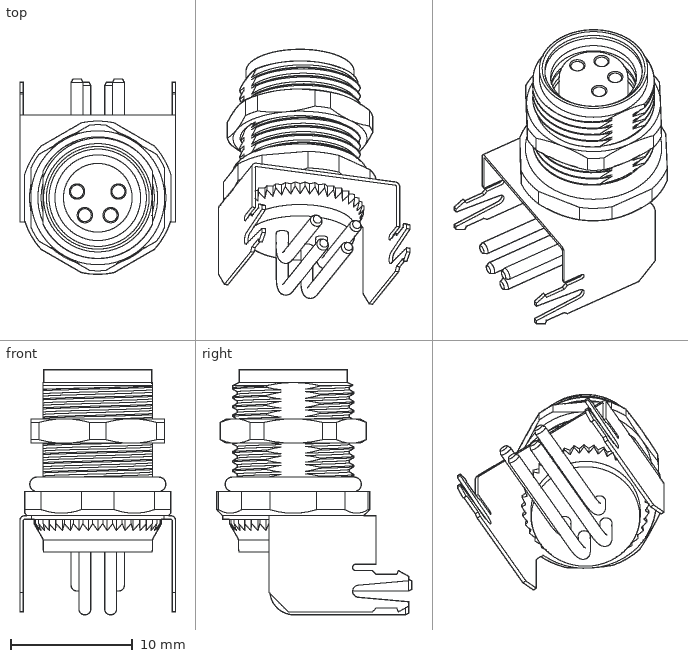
import cadquery as cq
import math


BODY_RADIUS = 4.5
RIM_RADIUS = 4.45
TOP_Z = 12.0
BOTTOM_Z = -3.0
BOTTOM_CHAMFER_HEIGHT = 0.2
BOTTOM_CHAMFER_WIDTH = 0.05

THREAD_RADIUS = 5.0
THREAD_ROOT_RADIUS = 4.61
THREAD_PITCH = 0.75
THREAD_CREST_WIDTH = 0.1
THREAD_FLANK_ANGLE = 30.0
THREAD_TOP_Z = 10.95
THREAD_BOTTOM_Z = 3.1
THREAD_LEAD_IN = 0.27
THREAD_CREST_Z = 9.7
RIDGE_OVERLAP = 0.1
CREST_START_Z = THREAD_CREST_Z + THREAD_PITCH / 4
THREAD_END_TURNS = 0.95
THREAD_END_STEP = 0.02
FLAT_DISTANCE = 4.5

NUT_FLATS = 11.0
NUT_CORNER_RADIUS = 6.0
NUT_BOTTOM_Z = 5.95
NUT_HEIGHT = 2.0
NUT_CHAMFER_ANGLE = 30.0
NUT_HOLE_RADIUS = 4.65
NUT_HOLE_MOUTH_RADIUS = 4.92

FLANGE_FLATS = 12.0
FLANGE_CORNER_RADIUS = 6.3
FLANGE_HEIGHT = 2.0
FLANGE_CHAMFER = 0.5

OUTER_RING_RADIUS = 5.0
OUTER_RING_SECTION = 0.6
INNER_RING_SECTION = 0.37
RING_SQUEEZE = 0.02

MOUTH_RADIUS = 4.22
COUNTERBORE_RADIUS = 4.0
COUNTERBORE_CONE_Z = 11.45
BORE_RADIUS = 3.52
SNAP_CONE_HEIGHT = 0.38
UPPER_LIP_BOTTOM_Z = 10.45
MIDDLE_LIP_TOP_Z = 9.67
MIDDLE_LIP_BOTTOM_Z = 9.4
LOWER_LIP_TOP_Z = 8.75
WELL_FLOOR_Z = 7.8
INSERT_RADIUS = 2.82
INSERT_DEPTH = 0.8
INSERT_EDGE_RADIUS = 0.2

CONTACT_HOLE_RADIUS = 0.53
CONTACT_HOLE_CHAMFER = 0.1
CONTACT_HOLE_DEPTH = 3.5
DRILL_TIP_ANGLE = 118.0
FRONT_CONTACT_X = 1.06
FRONT_CONTACT_Y = -1.43
REAR_CONTACT_X = 1.7
REAR_CONTACT_Y = 0.51
PIN_RADIUS = 0.5
PIN_BEND_RADIUS = 1.5
PIN_EMBEDDED_LENGTH = 0.5
PIN_ROOT_Z = BOTTOM_Z + PIN_EMBEDDED_LENGTH
FRONT_PIN_AXIS_Z = -7.65
REAR_PIN_AXIS_Z = -5.7
FRONT_PIN_END_Y = 9.5
REAR_PIN_END_Y = 9.75
PIN_TIP_LENGTH = 0.3
PIN_TIP_STEP = 0.15

KNURL_RADIUS = 5.25
KNURL_ROOT_RADIUS = 4.92
KNURL_COUNT = 40
KNURL_CONE_TOP_Z = -0.65
KNURL_CONE_END_RADIUS = 4.55
KNURL_CONE_END_Z = -1.85
COLLAR_END_Z = -2.0

SHEET = 0.3
BRACKET_WIDTH = 12.8
BRACKET_BEND_RADIUS = 0.4
BRACKET_FRONT_Y = -2.0
BRACKET_REAR_Y = 6.8
BRACKET_NOSE_RADIUS = 5.8
LEG_BOTTOM_Z = -7.9
LEG_CHAMFER = 1.6

FORK_Z = -6.2
FORK_ROOT_Y = 4.88
FORK_ROOT_HALF_GAP = 0.49
FORK_ROOT_LENGTH = 0.45
FORK_TIP_Y = 9.5
FORK_TIP_HALF_GAP = 0.86
FORK_TIP_HALF_WIDTH = 1.22
BARB_Y = 8.63
BARB_BACK_Y = 8.5
BARB_HALF_WIDTH = FORK_Z - LEG_BOTTOM_Z
NECK_HALF_WIDTH = 1.4
NECK_START_Y = 6.8
NECK_END_Y = 6.5
RELIEF_TOP_Z = -4.0


def revolve_profile(points):
    """Solid of revolution about Z from (radius, z) points."""
    return cq.Workplane("XZ").polyline(points).close().revolve(360, (0, 0), (0, 1))


def cylinder(radius, bottom, top):
    return cq.Workplane("XY").workplane(offset=bottom).circle(radius).extrude(top - bottom)


def hexagon(flats, bottom, height):
    """Hexagonal prism with flats facing +X and -X."""
    prism = cq.Workplane("XY").workplane(offset=bottom)
    prism = prism.polygon(6, flats / math.cos(math.pi / 6)).extrude(height)
    return prism.rotate((0, 0, 0), (0, 0, 1), 30)


def ring(radius, section, seat_z):
    """Round-section sealing ring resting on a seat."""
    centre_z = seat_z + section - RING_SQUEEZE
    circle = cq.Workplane("XZ").center(radius, centre_z).circle(section)
    return circle.revolve(360, (-radius, 0), (-radius, 1))


def side_flats():
    """Slab between the two body flats."""
    return cq.Workplane("XY").box(2 * FLAT_DISTANCE, 4 * THREAD_RADIUS, 4 * TOP_Z)


def lead_in_envelope():
    """Region below the cone that chamfers the top end of the thread."""
    outer = THREAD_RADIUS + RIDGE_OVERLAP
    cone_height = (outer - RIM_RADIUS) * THREAD_LEAD_IN / (THREAD_RADIUS - RIM_RADIUS)
    return revolve_profile([
        (0, THREAD_BOTTOM_Z),
        (outer, THREAD_BOTTOM_Z),
        (outer, THREAD_TOP_Z - cone_height),
        (RIM_RADIUS, THREAD_TOP_Z),
        (0, THREAD_TOP_Z),
    ])


def make_thread_core():
    core = cylinder(THREAD_ROOT_RADIUS, THREAD_BOTTOM_Z, THREAD_TOP_Z)
    return core.intersect(lead_in_envelope()).intersect(side_flats())


def helical_sweep(profile, start_z, turns):
    """Sweep a (radius, height) profile along the thread helix, starting on +X at start_z."""
    path = cq.Wire.makeHelix(THREAD_PITCH, turns * THREAD_PITCH, THREAD_ROOT_RADIUS, cq.Vector(0, 0, start_z))
    outline = cq.Workplane("XZ", origin=(0, 0, start_z)).polyline(profile).close()
    return outline.sweep(cq.Workplane(obj=path), isFrenet=True)


def make_thread_ridge(bottom, top):
    """Thread between two heights, interrupted by the side flats."""
    base_radius = THREAD_ROOT_RADIUS - RIDGE_OVERLAP
    half_crest = THREAD_CREST_WIDTH / 2
    half_base = half_crest + (THREAD_RADIUS - base_radius) * math.tan(math.radians(THREAD_FLANK_ANGLE))
    profile = [
        (base_radius, -half_base),
        (THREAD_RADIUS, -half_crest),
        (THREAD_RADIUS, half_crest),
        (base_radius, half_base),
    ]
    turns_below = math.ceil((CREST_START_Z - bottom) / THREAD_PITCH) + 1
    start_z = CREST_START_Z - turns_below * THREAD_PITCH
    turns = math.ceil((top - start_z) / THREAD_PITCH) + 1
    section = cylinder(THREAD_RADIUS + RIDGE_OVERLAP, bottom, top).intersect(lead_in_envelope())
    return helical_sweep(profile, start_z, turns).intersect(section).intersect(side_flats())


def make_thread_end():
    """Ungrooved land above the last crest on the -Y side, between the two flats."""
    inner_radius = THREAD_ROOT_RADIUS - RIDGE_OVERLAP / 2
    outer_radius = THREAD_RADIUS - THREAD_END_STEP
    profile = [
        (inner_radius, 0),
        (outer_radius, 0),
        (outer_radius, THREAD_PITCH),
        (inner_radius, THREAD_PITCH),
    ]
    half = cq.Workplane("XY").box(4 * THREAD_RADIUS, 2 * THREAD_RADIUS, 4 * TOP_Z)
    half = half.translate((0, -THREAD_RADIUS, 0)).intersect(side_flats()).intersect(lead_in_envelope())
    return helical_sweep(profile, CREST_START_Z, THREAD_END_TURNS).intersect(half)


def make_nut():
    top = NUT_BOTTOM_Z + NUT_HEIGHT
    face_radius = NUT_FLATS / 2
    chamfer = (NUT_CORNER_RADIUS - face_radius) * math.tan(math.radians(NUT_CHAMFER_ANGLE))
    envelope = revolve_profile([
        (0, NUT_BOTTOM_Z),
        (face_radius, NUT_BOTTOM_Z),
        (NUT_CORNER_RADIUS, NUT_BOTTOM_Z + chamfer),
        (NUT_CORNER_RADIUS, top - chamfer),
        (face_radius, top),
        (0, top),
    ])
    nut = hexagon(NUT_FLATS, NUT_BOTTOM_Z, NUT_HEIGHT).intersect(envelope)

    hole_chamfer = NUT_HOLE_MOUTH_RADIUS - NUT_HOLE_RADIUS
    hole = revolve_profile([
        (0, NUT_BOTTOM_Z),
        (NUT_HOLE_MOUTH_RADIUS, NUT_BOTTOM_Z),
        (NUT_HOLE_RADIUS, NUT_BOTTOM_Z + hole_chamfer),
        (NUT_HOLE_RADIUS, top - hole_chamfer),
        (NUT_HOLE_MOUTH_RADIUS, top),
        (0, top),
    ])
    return nut.cut(hole.cut(side_flats()))


def make_flange():
    envelope = cylinder(FLANGE_CORNER_RADIUS, 0, FLANGE_HEIGHT).faces("<Z").chamfer(FLANGE_CHAMFER)
    return hexagon(FLANGE_FLATS, 0, FLANGE_HEIGHT).intersect(envelope)


def make_collar():
    collar = revolve_profile([
        (0, 0),
        (KNURL_RADIUS, 0),
        (KNURL_RADIUS, KNURL_CONE_TOP_Z),
        (KNURL_CONE_END_RADIUS, KNURL_CONE_END_Z),
        (BODY_RADIUS, COLLAR_END_Z),
        (BODY_RADIUS, BOTTOM_Z + BOTTOM_CHAMFER_HEIGHT),
        (BODY_RADIUS - BOTTOM_CHAMFER_WIDTH, BOTTOM_Z),
        (0, BOTTOM_Z),
    ])
    star = []
    for index in range(2 * KNURL_COUNT):
        radius = KNURL_RADIUS if index % 2 else KNURL_ROOT_RADIUS
        angle = math.pi * index / KNURL_COUNT - math.pi / 2
        star.append((radius * math.cos(angle), radius * math.sin(angle)))
    knurl = cq.Workplane("XY").workplane(offset=BOTTOM_Z).polyline(star).close().extrude(-BOTTOM_Z)
    return collar.intersect(knurl)


def cut_mating_socket(body):
    """Mouth with three conical snap lips, and the contact insert standing in its well."""
    cavity = revolve_profile([
        (0, WELL_FLOOR_Z),
        (BORE_RADIUS, WELL_FLOOR_Z),
        (BORE_RADIUS, LOWER_LIP_TOP_Z),
        (COUNTERBORE_RADIUS, LOWER_LIP_TOP_Z + SNAP_CONE_HEIGHT),
        (COUNTERBORE_RADIUS, MIDDLE_LIP_BOTTOM_Z),
        (BORE_RADIUS, MIDDLE_LIP_BOTTOM_Z),
        (BORE_RADIUS, MIDDLE_LIP_TOP_Z),
        (COUNTERBORE_RADIUS, MIDDLE_LIP_TOP_Z + SNAP_CONE_HEIGHT),
        (COUNTERBORE_RADIUS, UPPER_LIP_BOTTOM_Z),
        (BORE_RADIUS, UPPER_LIP_BOTTOM_Z),
        (BORE_RADIUS, COUNTERBORE_CONE_Z - SNAP_CONE_HEIGHT),
        (COUNTERBORE_RADIUS, COUNTERBORE_CONE_Z),
        (COUNTERBORE_RADIUS, TOP_Z - (MOUTH_RADIUS - COUNTERBORE_RADIUS)),
        (MOUTH_RADIUS, TOP_Z),
        (0, TOP_Z),
    ])
    insert = cylinder(INSERT_RADIUS, WELL_FLOOR_Z, TOP_Z - INSERT_DEPTH)
    insert = insert.faces(">Z").edges().fillet(INSERT_EDGE_RADIUS)
    ring_radius = (INSERT_RADIUS + BORE_RADIUS) / 2
    sealing_ring = ring(ring_radius, INNER_RING_SECTION, WELL_FLOOR_Z)
    return body.cut(cavity).union(insert).union(sealing_ring)


def contact_hole(x, y):
    top = TOP_Z - INSERT_DEPTH
    bottom = top - CONTACT_HOLE_DEPTH
    tip = CONTACT_HOLE_RADIUS / math.tan(math.radians(DRILL_TIP_ANGLE / 2))
    hole = revolve_profile([
        (0, top),
        (CONTACT_HOLE_RADIUS + CONTACT_HOLE_CHAMFER, top),
        (CONTACT_HOLE_RADIUS, top - CONTACT_HOLE_CHAMFER),
        (CONTACT_HOLE_RADIUS, bottom),
        (0, bottom - tip),
    ])
    return hole.translate((x, y, 0))


def make_pin(x, y, axis_z, end_y):
    """Round pin leaving the body downward and bending toward +Y."""
    bend_z = axis_z + PIN_BEND_RADIUS
    bend_y = y + PIN_BEND_RADIUS
    diagonal = PIN_BEND_RADIUS * math.sqrt(0.5)
    path = (
        cq.Workplane("YZ", origin=(x, 0, 0))
        .moveTo(y, PIN_ROOT_Z)
        .lineTo(y, bend_z)
        .threePointArc((bend_y - diagonal, bend_z - diagonal), (bend_y, axis_z))
        .lineTo(end_y, axis_z)
    )
    pin = cq.Workplane("XY", origin=(x, y, PIN_ROOT_Z)).circle(PIN_RADIUS).sweep(path)
    return pin.faces(">Y").chamfer(PIN_TIP_LENGTH, PIN_TIP_STEP)


def make_leg_profile():
    """Bracket side outline in the YZ plane, drawn from the plate downward."""
    relief_bottom = FORK_Z + BARB_HALF_WIDTH
    relief_radius = (RELIEF_TOP_Z - relief_bottom) / 2
    relief_end = FORK_ROOT_Y + relief_radius
    fork_mouth_y = FORK_ROOT_Y + FORK_ROOT_LENGTH
    return (
        cq.Workplane("YZ")
        .moveTo(BRACKET_FRONT_Y, 0)
        .lineTo(BRACKET_REAR_Y, 0)
        .lineTo(BRACKET_REAR_Y, RELIEF_TOP_Z)
        .lineTo(relief_end, RELIEF_TOP_Z)
        .threePointArc((FORK_ROOT_Y, RELIEF_TOP_Z - relief_radius), (relief_end, relief_bottom))
        .lineTo(NECK_END_Y, relief_bottom)
        .lineTo(NECK_START_Y, FORK_Z + NECK_HALF_WIDTH)
        .lineTo(BARB_BACK_Y, FORK_Z + NECK_HALF_WIDTH)
        .lineTo(BARB_Y, FORK_Z + BARB_HALF_WIDTH)
        .lineTo(FORK_TIP_Y, FORK_Z + FORK_TIP_HALF_WIDTH)
        .lineTo(FORK_TIP_Y, FORK_Z + FORK_TIP_HALF_GAP)
        .lineTo(fork_mouth_y, FORK_Z + FORK_ROOT_HALF_GAP)
        .threePointArc((FORK_ROOT_Y, FORK_Z), (fork_mouth_y, FORK_Z - FORK_ROOT_HALF_GAP))
        .lineTo(FORK_TIP_Y, FORK_Z - FORK_TIP_HALF_GAP)
        .lineTo(FORK_TIP_Y, FORK_Z - FORK_TIP_HALF_WIDTH)
        .lineTo(BARB_Y, FORK_Z - BARB_HALF_WIDTH)
        .lineTo(BARB_BACK_Y, FORK_Z - NECK_HALF_WIDTH)
        .lineTo(NECK_START_Y, FORK_Z - NECK_HALF_WIDTH)
        .lineTo(NECK_END_Y, LEG_BOTTOM_Z)
        .lineTo(BRACKET_FRONT_Y + LEG_CHAMFER, LEG_BOTTOM_Z)
        .lineTo(BRACKET_FRONT_Y, LEG_BOTTOM_Z + LEG_CHAMFER)
        .close()
    )


def bracket_block(width, top, bend_radius):
    """Block with rounded upper long edges, reaching below the legs and beyond both ends."""
    length = 4 * FORK_TIP_Y
    height = top - 2 * LEG_BOTTOM_Z
    block = cq.Workplane("XY").box(width, length, height).translate((0, 0, top - height / 2))
    return block.edges("|Y and >Z").fillet(bend_radius)


def make_bracket():
    outer = bracket_block(BRACKET_WIDTH, 0, BRACKET_BEND_RADIUS)
    inner = bracket_block(BRACKET_WIDTH - 2 * SHEET, -SHEET, BRACKET_BEND_RADIUS - SHEET)
    side = make_leg_profile().extrude(BRACKET_WIDTH / 2, both=True)
    nose = cylinder(BRACKET_NOSE_RADIUS, -SHEET, 0)
    return side.intersect(outer.cut(inner)).union(nose)


def make_part():
    body = cylinder(BODY_RADIUS, COLLAR_END_Z, THREAD_BOTTOM_Z).union(cylinder(RIM_RADIUS, 0, TOP_Z))
    body = body.union(make_thread_core()).union(make_nut()).union(make_flange())
    body = body.union(ring(OUTER_RING_RADIUS, OUTER_RING_SECTION, FLANGE_HEIGHT))
    body = cut_mating_socket(body)
    body = body.union(make_collar()).union(make_bracket())
    for side in (-1, 1):
        front_x = side * FRONT_CONTACT_X
        rear_x = side * REAR_CONTACT_X
        body = body.cut(contact_hole(front_x, FRONT_CONTACT_Y))
        body = body.cut(contact_hole(rear_x, REAR_CONTACT_Y))
        body = body.union(make_pin(front_x, FRONT_CONTACT_Y, FRONT_PIN_AXIS_Z, FRONT_PIN_END_Y))
        body = body.union(make_pin(rear_x, REAR_CONTACT_Y, REAR_PIN_AXIS_Z, REAR_PIN_END_Y))
    body = body.union(make_thread_ridge(THREAD_BOTTOM_Z, NUT_BOTTOM_Z)).union(make_thread_end())
    return body.union(make_thread_ridge(NUT_BOTTOM_Z + NUT_HEIGHT, THREAD_TOP_Z))


result = make_part()